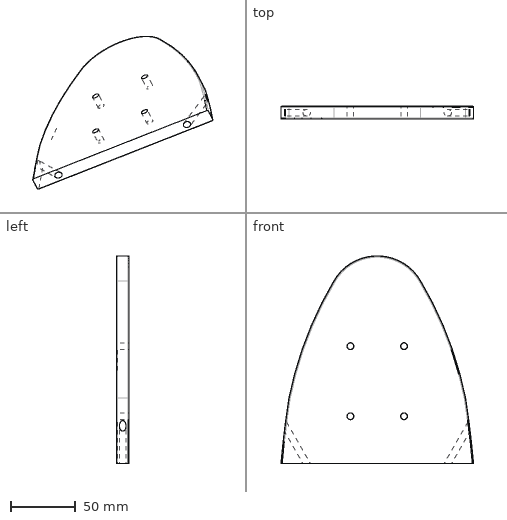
import cadquery as cq
import math

base_width = 148.49
height = 160.0
thickness = 10.0
edge_fillet = 1.0

lower_joint_half_width = 68.1
lower_joint_height = 50.3
lower_flank_bulge = 0.4
upper_joint_half_width = 33.5
upper_joint_height = 140.5
upper_flank_bulge = 4.1

hole_diameter = 5.0
bolt_spacing_x = 41.3
bolt_spacing_z = 54.0
lowest_bolt_height = 36.4

flank_hole_height = 29.0
flank_hole_angle = 60.0


def bulged_midpoint(start, end, bulge):
    """Midpoint of the chord, pushed to the right of the start-to-end direction."""
    dx = end[0] - start[0]
    dz = end[1] - start[1]
    chord = math.hypot(dx, dz)
    mid_x = (start[0] + end[0]) / 2 + bulge * dz / chord
    mid_z = (start[1] + end[1]) / 2 - bulge * dx / chord
    return (mid_x, mid_z)


def mirrored(point):
    return (-point[0], point[1])


base_corner = (base_width / 2, 0)
lower_joint = (lower_joint_half_width, lower_joint_height)
upper_joint = (upper_joint_half_width, upper_joint_height)
crown = (0, height)
lower_flank_mid = bulged_midpoint(base_corner, lower_joint, lower_flank_bulge)
upper_flank_mid = bulged_midpoint(lower_joint, upper_joint, upper_flank_bulge)


def crown_midpoint():
    """Middle of the crown arc between the upper joint and the top point."""
    rise = height - upper_joint_height
    radius = (upper_joint_half_width**2 + rise**2) / (2 * rise)
    half_angle = math.asin(upper_joint_half_width / radius) / 2
    return (radius * math.sin(half_angle), height - radius * (1 - math.cos(half_angle)))


def make_plate():
    crown_mid = crown_midpoint()
    plate = (
        cq.Workplane("XZ", origin=(0, thickness, 0))
        .moveTo(*mirrored(base_corner))
        .lineTo(*base_corner)
        .threePointArc(lower_flank_mid, lower_joint)
        .threePointArc(upper_flank_mid, upper_joint)
        .threePointArc(crown_mid, crown)
        .threePointArc(mirrored(crown_mid), mirrored(upper_joint))
        .threePointArc(mirrored(upper_flank_mid), mirrored(lower_joint))
        .threePointArc(mirrored(lower_flank_mid), mirrored(base_corner))
        .close()
        .extrude(thickness)
    )
    return plate.faces("|Y").edges("not |X").fillet(edge_fillet)


def make_bolt_holes():
    centre_height = lowest_bolt_height + bolt_spacing_z / 2
    return (
        cq.Workplane("XZ", origin=(0, thickness, centre_height))
        .rarray(bolt_spacing_x, bolt_spacing_z, 2, 2)
        .circle(hole_diameter / 2)
        .extrude(thickness)
    )


def flank_half_width(z):
    """Half width of the lower flank, taken along its chord plus the arc bulge."""
    along = z / lower_joint_height
    chord_half_width = base_corner[0] + along * (lower_joint_half_width - base_corner[0])
    return chord_half_width + 4 * lower_flank_bulge * along * (1 - along)


def make_flank_hole(side):
    """Cylinder slanting from the flank on the given side (+1 or -1) out through the base."""
    angle = math.radians(flank_hole_angle)
    inward = cq.Vector(-side * math.cos(angle), 0, -math.sin(angle))
    entry = cq.Vector(side * flank_half_width(flank_hole_height), thickness / 2, flank_hole_height)
    overrun = 2 * hole_diameter
    length = flank_hole_height / math.sin(angle) + 2 * overrun
    return cq.Solid.makeCylinder(hole_diameter / 2, length, entry - inward * overrun, inward)


result = make_plate().cut(make_bolt_holes())
for side in (-1, 1):
    result = result.cut(make_flank_hole(side))